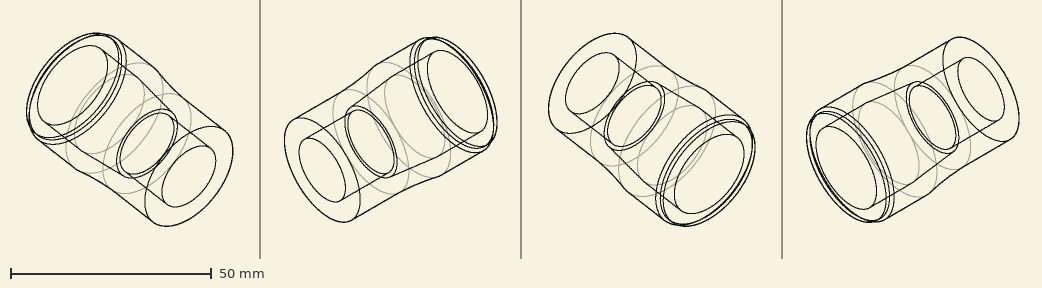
import cadquery as cq

length = 44.5
nose_end = 1.1
chamfer_end = 1.9
large_end = 16.0
small_start = 28.5

nose_radius = 30.35 / 2
large_radius = 32.0 / 2
small_radius = 29.0 / 2

entry_radius = 23.0 / 2
throat_radius = 20.0 / 2
through_radius = 17.7 / 2

entry_depth = 14.05
shoulder_depth = small_start

neck_sag = 0.25
neck_middle_x = (large_end + small_start) / 2
neck_middle_radius = (large_radius + small_radius) / 2 - neck_sag

body = (
    cq.Workplane("XY")
    .moveTo(0, 0)
    .lineTo(0, nose_radius)
    .lineTo(nose_end, nose_radius)
    .lineTo(chamfer_end, large_radius)
    .lineTo(large_end, large_radius)
    .threePointArc((neck_middle_x, neck_middle_radius), (small_start, small_radius))
    .lineTo(length, small_radius)
    .lineTo(length, 0)
    .close()
    .revolve(360, (0, 0, 0), (1, 0, 0))
)

bore = (
    cq.Workplane("XY")
    .moveTo(0, 0)
    .lineTo(0, entry_radius)
    .lineTo(entry_depth, entry_radius)
    .lineTo(shoulder_depth, throat_radius)
    .lineTo(shoulder_depth, through_radius)
    .lineTo(length, through_radius)
    .lineTo(length, 0)
    .close()
    .revolve(360, (0, 0, 0), (1, 0, 0))
)

result = body.cut(bore)